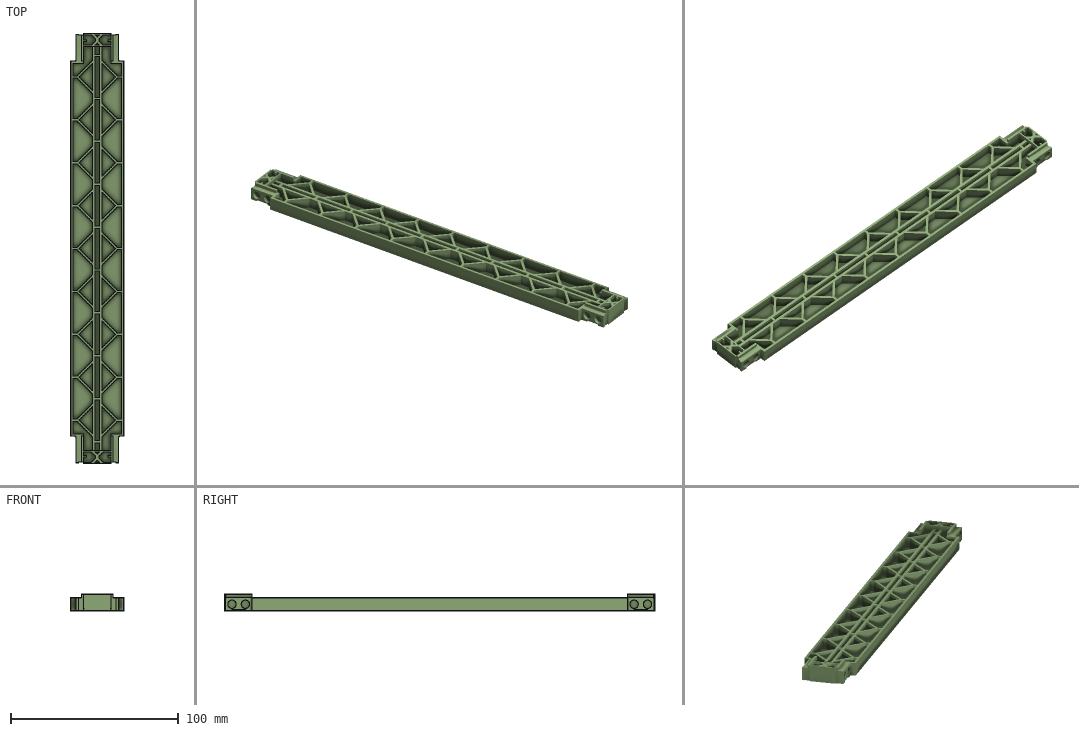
import cadquery as cq

MODULE = 8.0
FRAME_LENGTH = 32 * MODULE
BODY_WIDTH = 31.8
BODY_HEIGHT = MODULE
END_HEIGHT = 10.0
FLOOR = 1.6
WALL = 1.4

END_LENGTH = 2 * MODULE
END_WIDTH = 25.6
END_OVERHANG = 0.4
END_RECESS = 0.9
CHEEK_SETBACK = 0.5
CHEEK = 1.5
BAY_WIDTH = 16.2
BAY_CORNER_RADIUS = 0.5
ROOT_RADIUS = 0.6
END_WALL = 0.8
CROSSBAR = 0.8
BAY_LENGTH = 6.2
STUB_LENGTH = 1.6
STUB_THICKNESS = 0.8

CROSS_WIDTH = 7.2
CROSS_GAP = 2.4
CROSS_RADIUS = 1.0

PIN_HOLE_DIAMETER = 5.0
PIN_HOLE_DEPTH = 2.1
PIN_HEIGHT = BODY_HEIGHT / 2
NOTCH_HEIGHT = 0.8

APEX_COUNT = 9
TRUSS_PITCH = FRAME_LENGTH / (APEX_COUNT + 1)
APEX_STUB = 2.0
RIB = 1.4
SPINE_WIDTH = 5.6
SLOT_WIDTH = 2.4

LENGTH = FRAME_LENGTH + 2 * END_OVERHANG
HALF_LENGTH = LENGTH / 2
BODY_LENGTH = FRAME_LENGTH - 2 * END_LENGTH
CAVITY_WIDTH = BODY_WIDTH - 2 * WALL
CAVITY_LENGTH = BODY_LENGTH - 2 * WALL
RAISED_WIDTH = BAY_WIDTH + 2 * WALL
BLOCK_LENGTH = HALF_LENGTH - BODY_LENGTH / 2
INNER_LENGTH = LENGTH - 2 * END_WALL
BAY_NEAR = INNER_LENGTH / 2
BAY_FAR = BAY_NEAR - BAY_LENGTH
BAY_MIDDLE = (BAY_NEAR + BAY_FAR) / 2
PIN_POSITIONS = [FRAME_LENGTH / 2 - pitches * MODULE for pitches in (0.5, 1.5)]


def block(width, length, bottom, top, x=0.0, y=0.0):
    """Box centred at (x, y) between two heights."""
    box = cq.Workplane("XY").box(width, length, top - bottom, centered=(True, True, False))
    return box.translate((x, y, bottom))


def both_ends(feature):
    """The feature of the +Y end together with its mirror image at the -Y end."""
    return feature.union(feature.mirror("XZ"))


def rib(start, end):
    """Upright rib of the truss between two plan points."""
    along = cq.Vector(end[0] - start[0], end[1] - start[1], 0)
    side = cq.Vector(-along.y, along.x, 0).normalized() * (RIB / 2)
    corners = [
        (start[0] + side.x, start[1] + side.y),
        (end[0] + side.x, end[1] + side.y),
        (end[0] - side.x, end[1] - side.y),
        (start[0] - side.x, start[1] - side.y),
    ]
    return cq.Workplane("XY").polyline(corners).close().extrude(BODY_HEIGHT)


def outer_solid():
    """Wide body with narrow end blocks and a raised strip on each block."""
    solid = block(BODY_WIDTH, BODY_LENGTH, 0, BODY_HEIGHT)
    solid = solid.union(block(END_WIDTH, LENGTH, 0, BODY_HEIGHT))
    root_box = block(END_WIDTH + ROOT_RADIUS, BODY_LENGTH + ROOT_RADIUS, 0, BODY_HEIGHT).val().BoundingBox()
    root_edges = cq.selectors.BoxSelector(
        (root_box.xmin, root_box.ymin, root_box.zmin),
        (root_box.xmax, root_box.ymax, root_box.zmax),
    )
    solid = solid.edges("|Z").edges(root_edges).fillet(ROOT_RADIUS)
    for end in (-1, 1):
        y = end * (HALF_LENGTH - BLOCK_LENGTH / 2)
        solid = solid.union(block(RAISED_WIDTH, BLOCK_LENGTH, 0, END_HEIGHT, y=y))
    return solid


def end_setbacks():
    """Material trimmed off both end faces so that the cheeks, and the channels inside them, sit back."""
    bay_x = BAY_WIDTH / 2
    outer_x = END_WIDTH / 2
    cheek_x = outer_x - CHEEK
    trims = cq.Workplane("XY")
    for inner, outer, depth in ((bay_x, cheek_x, END_RECESS), (cheek_x, outer_x, CHEEK_SETBACK)):
        for side in (-1, 1):
            x = side * (inner + outer) / 2
            y = HALF_LENGTH - depth / 2
            trims = trims.union(block(outer - inner, depth, 0, END_HEIGHT, x=x, y=y))
    return both_ends(trims)


def cavity():
    """Open pocket above the floor, running on between the raised walls."""
    bay = block(BAY_WIDTH, INNER_LENGTH, FLOOR, END_HEIGHT).edges("|Z").fillet(BAY_CORNER_RADIUS)
    return bay.union(block(CAVITY_WIDTH, CAVITY_LENGTH, FLOOR, END_HEIGHT))


def spine():
    """Pair of lengthwise ribs joined by a crossbar midway between apexes."""
    length = 2 * BAY_FAR
    ribs = block(SPINE_WIDTH, length, 0, BODY_HEIGHT)
    ribs = ribs.cut(block(SLOT_WIDTH, length, FLOOR, BODY_HEIGHT))
    for i in range(APEX_COUNT + 1):
        y = (i - APEX_COUNT / 2) * TRUSS_PITCH
        ribs = ribs.union(block(SLOT_WIDTH, RIB, 0, BODY_HEIGHT, y=y))
    return ribs


def truss():
    """Diagonal ribs from the spine to apexes that are stubbed to both side walls."""
    ribs = cq.Workplane("XY")
    root_x = (SPINE_WIDTH - RIB) / 2
    apex_x = CAVITY_WIDTH / 2 - APEX_STUB - RIB / 2
    wall_x = (BODY_WIDTH - WALL) / 2
    run = apex_x - root_x
    for i in range(APEX_COUNT):
        y = (i - (APEX_COUNT - 1) / 2) * TRUSS_PITCH
        for side in (-1, 1):
            apex = (side * apex_x, y)
            ribs = ribs.union(rib(apex, (side * root_x, y + run)))
            ribs = ribs.union(rib(apex, (side * root_x, y - run)))
            ribs = ribs.union(rib(apex, (side * wall_x, y)))
    return ribs


def crossed_ribs():
    """X of ribs filling the +Y end bay: a block with rounded side notches and sharp end notches."""
    half = CROSS_WIDTH / 2
    cross = block(CROSS_WIDTH, BAY_LENGTH, 0, END_HEIGHT, y=BAY_MIDDLE)
    for side in (-1, 1):
        tip = (side * (half - BAY_LENGTH / 2), BAY_MIDDLE)
        notch = cq.Workplane("XY").workplane(offset=FLOOR)
        notch = notch.polyline([(side * half, BAY_NEAR), tip, (side * half, BAY_FAR)]).close()
        notch = notch.extrude(END_HEIGHT - FLOOR)
        notch = notch.edges("|Z").edges("<X" if side > 0 else ">X").fillet(CROSS_RADIUS)
        cross = cross.cut(notch)
    for base, inward in ((BAY_NEAR, -1), (BAY_FAR, 1)):
        corners = [(-CROSS_GAP / 2, base), (CROSS_GAP / 2, base), (0, base + inward * CROSS_GAP / 2)]
        notch = cq.Workplane("XY").workplane(offset=FLOOR).polyline(corners).close()
        cross = cross.cut(notch.extrude(END_HEIGHT - FLOOR))
    return cross


def bay_ribs():
    """Crossbar, crossed ribs and wall stubs of the +Y end bay."""
    ribs = crossed_ribs()
    ribs = ribs.union(block(BAY_WIDTH, CROSSBAR, 0, END_HEIGHT, y=BAY_FAR - CROSSBAR / 2))
    for side in (-1, 1):
        x = side * (BAY_WIDTH - STUB_LENGTH) / 2
        ribs = ribs.union(block(STUB_LENGTH, STUB_THICKNESS, 0, END_HEIGHT, x=x, y=PIN_POSITIONS[0]))
    return ribs


def pin_holes():
    """Blind cross holes in both outer faces of the +Y end block, with a notch below each pair."""
    cuts = cq.Workplane("XY")
    for side in (-1, 1):
        for y in PIN_POSITIONS:
            start = cq.Vector(side * END_WIDTH / 2, y, PIN_HEIGHT)
            inward = cq.Vector(-side, 0, 0)
            hole = cq.Solid.makeCylinder(PIN_HOLE_DIAMETER / 2, PIN_HOLE_DEPTH, start, inward)
            cuts = cuts.union(cq.Workplane(hole))
        x = side * (END_WIDTH - CHEEK) / 2
        y = sum(PIN_POSITIONS) / 2
        cuts = cuts.union(block(CHEEK, MODULE, 0, NOTCH_HEIGHT, x=x, y=y))
    return cuts


result = outer_solid().cut(end_setbacks()).cut(cavity())
result = result.union(spine()).union(truss()).union(both_ends(bay_ribs()))
result = result.cut(both_ends(pin_holes()))